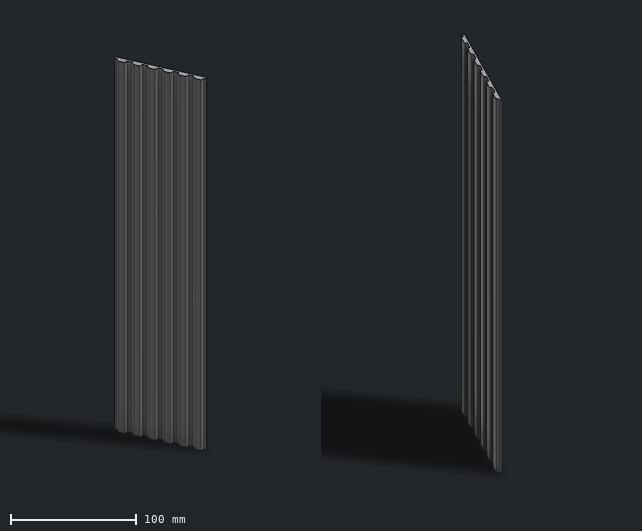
import cadquery as cq

length = 457.0
width = 76.5
depth = 4.05

rib_count = 6
sheet_thickness = 2.0
rib_root_width = 8.5
rib_tip_width = 6.0
root_radius = 0.5
tip_radius = 1.15

rib_pitch = width / rib_count
back_y = depth / 2
sheet_front_y = back_y - sheet_thickness
rib_tip_y = -depth / 2


def rib_points(center_x):
    """Return one rib's sharp outline from its left root to its right root."""
    return [
        (center_x - rib_root_width / 2, sheet_front_y),
        (center_x - rib_tip_width / 2, rib_tip_y),
        (center_x + rib_tip_width / 2, rib_tip_y),
        (center_x + rib_root_width / 2, sheet_front_y),
    ]


def edges_near(points):
    """Select the lengthwise edges that pass through the given section points."""
    margin = 0.05
    half_length = length / 2 + margin
    selector = None
    for x, y in points:
        box = cq.selectors.BoxSelector(
            (x - margin, y - margin, -half_length),
            (x + margin, y + margin, half_length),
        )
        selector = box if selector is None else selector + box
    return selector


rib_centers = [(index - (rib_count - 1) / 2) * rib_pitch for index in range(rib_count)]
rib_corners = [point for center_x in rib_centers for point in rib_points(center_x)]
root_corners = [point for point in rib_corners if point[1] == sheet_front_y]
tip_corners = [point for point in rib_corners if point[1] == rib_tip_y]

outline = [(-width / 2, back_y), (-width / 2, sheet_front_y)]
outline += rib_corners
outline += [(width / 2, sheet_front_y), (width / 2, back_y)]

panel = (
    cq.Workplane("XY")
    .workplane(offset=-length / 2)
    .polyline(outline)
    .close()
    .extrude(length)
)

panel = panel.edges(edges_near(root_corners)).fillet(root_radius)
result = panel.edges(edges_near(tip_corners)).fillet(tip_radius)